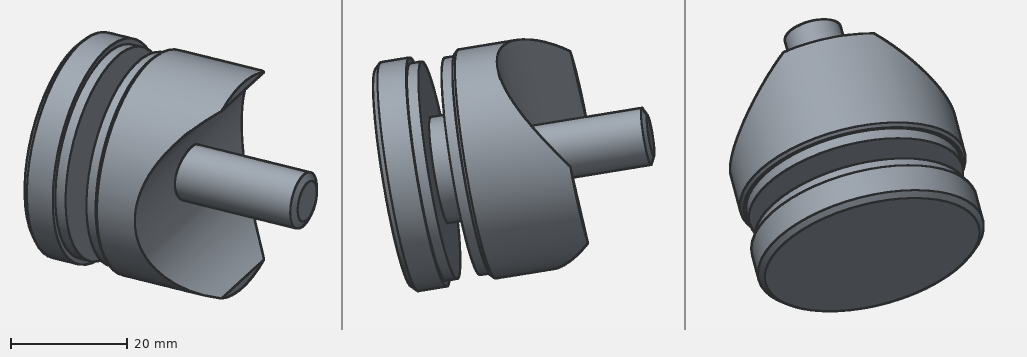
import cadquery as cq

total_length = 45.0
body_radius = 20.002

cap_thickness = 6.0
cap_chamfer = 1.0
boss_radius = 9.25
boss_fillet = 1.1

gasket_radius = 19.0
gasket_thickness = 2.0
gap_width = 4.05

saddle_end = 32.5
saddle_chamfer = 0.6
tube_radius = 21.2
tube_near_side = 21.9

stud_radius = 5.0
stud_tip_length = 0.7
stud_tip_reduction = 1.4

inner_gasket_start = cap_thickness + gasket_thickness + gap_width
saddle_start = inner_gasket_start + gasket_thickness


def cylinder(start, end, radius):
    """Solid cylinder about the X axis between two stations."""
    return cq.Workplane("YZ", origin=(start, 0, 0)).circle(radius).extrude(end - start)


def make_cap():
    """Chamfered disc with a boss reaching across the clamping gap."""
    disc = cylinder(0, cap_thickness, body_radius).faces("<X").chamfer(cap_chamfer)
    boss = cylinder(0, inner_gasket_start, boss_radius).faces(">X").edges().fillet(boss_fillet)
    return disc.union(boss)


def make_gasket(start, bore_radius):
    """Flat ring whose bore fits the part passing through it."""
    end = start + gasket_thickness
    return cylinder(start, end, gasket_radius).cut(cylinder(start, end, bore_radius))


def make_saddle():
    """Bored cylinder with a tube-shaped hollow in its far end."""
    saddle = cylinder(saddle_start, saddle_end, body_radius).faces("<X").chamfer(saddle_chamfer)
    tube = (
        cq.Workplane("XZ")
        .center(tube_near_side + tube_radius, 0)
        .circle(tube_radius)
        .extrude(body_radius, both=True)
    )
    return saddle.cut(tube).cut(cylinder(saddle_start, saddle_end, stud_radius))


def make_stud():
    """Plain rod from the boss to the far end, with a steep conical tip."""
    tip_start = total_length - stud_tip_length
    tip_radius = stud_radius - stud_tip_reduction
    half_profile = [
        (inner_gasket_start, 0),
        (inner_gasket_start, stud_radius),
        (tip_start, stud_radius),
        (total_length, tip_radius),
        (total_length, 0),
    ]
    return cq.Workplane("XZ").polyline(half_profile).close().revolve(360, (0, 0, 0), (1, 0, 0))


cap = make_cap()
cap_gasket = make_gasket(cap_thickness, boss_radius)
saddle_gasket = make_gasket(inner_gasket_start, stud_radius)
saddle = make_saddle()
stud = make_stud()

result = cq.Compound.makeCompound(
    [cap.val(), cap_gasket.val(), saddle_gasket.val(), saddle.val(), stud.val()]
)